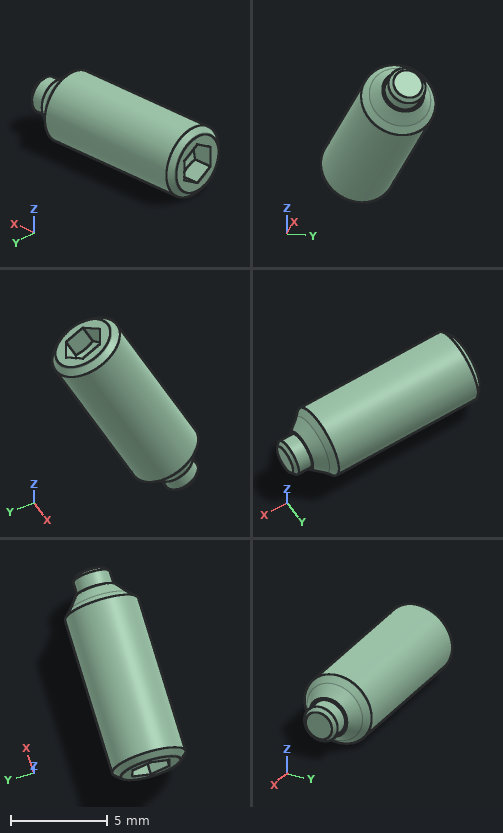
import cadquery as cq
import math

total_length = 11.0
body_radius = 2.0

end_face_radius = 1.62
rim_radius = 1.68
rim_length = 0.04
chamfer_start = 0.35

body_end = 8.95
body_end_chamfer = 0.35
taper_end = 9.98
taper_end_radius = 1.12
nose_radius = 1.0
nose_chamfer = 0.22

socket_sides = 6
socket_across_flats = 2.0
socket_wall_depth = 1.08
socket_floor_angle = math.radians(30)
socket_corner_radius = socket_across_flats / 2 / math.cos(math.pi / socket_sides)
socket_full_depth = socket_wall_depth + socket_corner_radius * math.tan(socket_floor_angle)


def revolve_about_x(points):
    """Turn a closed (x, radius) outline into a solid of revolution about X."""
    return cq.Workplane("XY").polyline(points).close().revolve(360, (0, 0, 0), (1, 0, 0))


def make_screw_body():
    """Chamfered cylinder with a tapered shoulder and a short dog point."""
    outline = [
        (0, 0),
        (0, end_face_radius),
        (rim_length, rim_radius),
        (chamfer_start, body_radius),
        (body_end, body_radius),
        (body_end + body_end_chamfer, body_radius - body_end_chamfer),
        (taper_end, taper_end_radius),
        (taper_end, nose_radius),
        (total_length - nose_chamfer, nose_radius),
        (total_length, nose_radius - nose_chamfer),
        (total_length, 0),
    ]
    return revolve_about_x(outline)


def make_socket():
    """Hexagonal prism with corners on Z, its inner end trimmed to a cone."""
    corners = []
    for index in range(socket_sides):
        angle = math.pi / 2 + index * 2 * math.pi / socket_sides
        corners.append((socket_corner_radius * math.cos(angle), socket_corner_radius * math.sin(angle)))
    prism = cq.Workplane("YZ").polyline(corners).close().extrude(socket_full_depth)
    drill_outline = [
        (0, 0),
        (0, socket_corner_radius),
        (socket_wall_depth, socket_corner_radius),
        (socket_full_depth, 0),
    ]
    return prism.intersect(revolve_about_x(drill_outline))


result = make_screw_body().cut(make_socket())